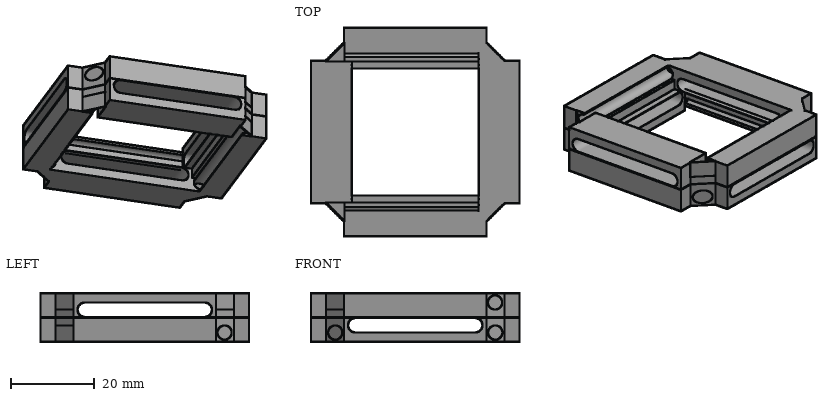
import cadquery as cq
import math

outer_size = 49.8
frame_height = 11.65
parting_gap = 0.1
half_height = frame_height / 2
half_thickness = half_height - parting_gap / 2
bar_half_length = 17.05
opening_half = 15.1
corner_step = 3.6
corner_skin = 0.175

rail_inner = 16.85
rail_lip = 18.68
rail_end = -16.9
channel_floor = 2.45
bore_diameter = 3.4
bore_offset = 19.05
bore_height = 3.6
corner_pocket_floor = bore_height - bore_diameter / 2

slot_length = 31.95
slot_width = 3.4
slot_floor = 0.15

half_size = outer_size / 2
chamfer_far = half_size - corner_step
chamfer_sum = chamfer_far + bar_half_length


def box_between(x_range, y_range, z_range):
    """Box spanning the given coordinate ranges."""
    x0, x1 = x_range
    y0, y1 = y_range
    z0, z1 = z_range
    return cq.Workplane("XY").box(x1 - x0, y1 - y0, z1 - z0, centered=False).translate((x0, y0, z0))


def base_plane():
    """Workplane on the mating face of the upper half frame."""
    return cq.Workplane("XY", origin=(0, 0, parting_gap / 2))


def frame_blank():
    """Two crossed bars with chamfers filling part of their inside corners."""
    cross = base_plane().rect(outer_size, 2 * bar_half_length).extrude(half_thickness)
    cross = cross.union(base_plane().rect(2 * bar_half_length, outer_size).extrude(half_thickness))
    octagon = corner_envelope(chamfer_sum, chamfer_far)
    return cross.union(octagon)


def corner_envelope(diagonal_sum, half_width):
    """Octagonal prism whose diagonal sides lie on |x| + |y| = diagonal_sum."""
    short = diagonal_sum - half_width
    points = [
        (half_width, short), (short, half_width), (-short, half_width), (-half_width, short),
        (-half_width, -short), (-short, -half_width), (short, -half_width), (half_width, -short),
    ]
    return base_plane().polyline(points).close().extrude(half_thickness)


def rail_cavity(side):
    """Channel, bore and open corner pocket of the rail on the +Y (1) or -Y (-1) side."""
    bore_top = bore_height + bore_diameter / 2
    channel_profile = [
        (side * rail_inner, channel_floor), (side * bore_offset, channel_floor),
        (side * bore_offset, bore_top), (side * rail_lip, half_height), (side * rail_inner, half_height),
    ]
    channel = (
        cq.Workplane("YZ", origin=(-half_size, 0, 0))
        .polyline(channel_profile)
        .close()
        .extrude(half_size + opening_half)
    )
    pocket_y = sorted((side * rail_inner, side * half_size))
    corner_pocket = box_between(
        (-half_size, rail_end), pocket_y, (corner_pocket_floor, half_height))
    bore = (
        cq.Workplane("YZ", origin=(-half_size, 0, 0))
        .center(side * bore_offset, bore_height)
        .circle(bore_diameter / 2)
        .extrude(outer_size)
    )
    return channel.union(corner_pocket).union(bore)


def half_frame():
    """Half frame just above the parting plane, with its rails open towards -X."""
    body = frame_blank().cut(
        box_between((-opening_half, opening_half), (-rail_inner, rail_inner), (0, half_height)))

    skin_sum = chamfer_sum - corner_skin * math.sqrt(2)
    inside_skin = corner_envelope(skin_sum, chamfer_far)
    for side in (1, -1):
        body = body.cut(rail_cavity(side).intersect(inside_skin))

    slot = (
        cq.Workplane("YZ", origin=(-half_size, 0, 0))
        .center(0, slot_floor + slot_width / 2)
        .slot2D(slot_length, slot_width)
        .extrude(outer_size)
    )
    return body.cut(slot)


upper_frame = half_frame()

lower_frame = half_frame().rotate((0, 0, 0), (1, -1, 0), 180)

result = cq.Compound.makeCompound([upper_frame.solids().val(), lower_frame.solids().val()])